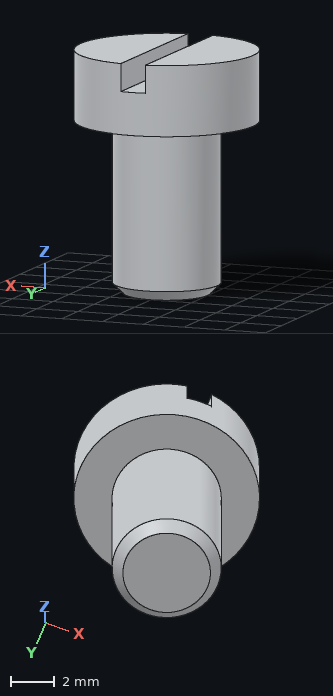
import cadquery as cq

total_length = 11.3
head_diameter = 8.5
head_height = 3.3
shank_diameter = 5.0
end_chamfer = 0.5
slot_width = 1.2
slot_depth = 1.3

shank_length = total_length - head_height


def make_shank():
    """Plain cylindrical shank with a chamfered lower end."""
    shank = cq.Workplane("XY").circle(shank_diameter / 2).extrude(shank_length)
    return shank.faces("<Z").chamfer(end_chamfer)


def make_head():
    """Cylindrical head sitting on top of the shank."""
    return (
        cq.Workplane("XY")
        .workplane(offset=shank_length)
        .circle(head_diameter / 2)
        .extrude(head_height)
    )


def make_slot():
    """Driver slot across the whole head, running along Y."""
    return (
        cq.Workplane("XY")
        .workplane(offset=total_length - slot_depth)
        .rect(slot_width, head_diameter)
        .extrude(slot_depth)
    )


result = make_shank().union(make_head()).cut(make_slot())